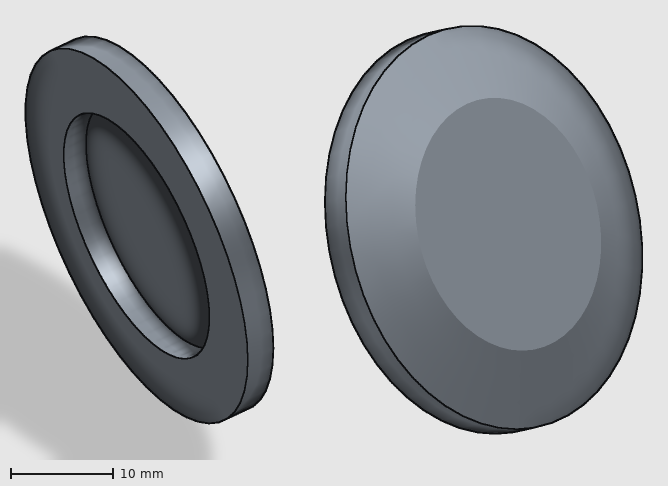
import cadquery as cq
import math

flange_diameter = 40.0
thickness = 5.0
rim_width = 3.0
cone_angle = 15.0
recess_diameter = 26.2
recess_depth = 2.6

flange_radius = flange_diameter / 2
recess_radius = recess_diameter / 2
cone_height = thickness - rim_width
back_radius = flange_radius - cone_height / math.tan(math.radians(cone_angle))

front_y = -thickness / 2
back_y = thickness / 2
rim_back_y = front_y + rim_width
recess_floor_y = front_y + recess_depth

half_section = (
    cq.Workplane("XY")
    .moveTo(0, recess_floor_y)
    .lineTo(recess_radius, recess_floor_y)
    .lineTo(recess_radius, front_y)
    .lineTo(flange_radius, front_y)
    .lineTo(flange_radius, rim_back_y)
    .lineTo(back_radius, back_y)
    .lineTo(0, back_y)
    .close()
)

result = half_section.revolve(360, (0, 0, 0), (0, 1, 0))